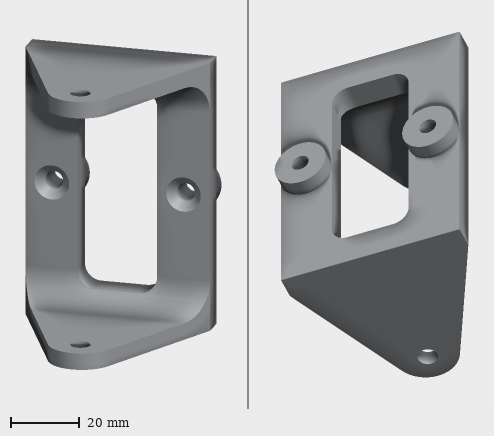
import cadquery as cq

height = 82.0
width = 56.0
arm_reach = 53.3
plate_thickness = 7.0
arm_thickness = 5.0
inner_radius = 10.0

tip_chord = 18.2
tip_length = 5.8
pivot_diameter = 6.0
pivot_to_tip = 8.4

window_width = 24.0
window_height = 62.0
window_radius = 5.0

boss_diameter = 16.0
boss_length = 5.0
screw_diameter = 5.3
sink_diameter = 10.5
sink_angle = 90.0

half_width = width / 2
plate_front = -plate_thickness
tip_start = tip_length - arm_reach
boss_offset = half_width - boss_diameter / 2
boss_places = [(-boss_offset, 0), (boss_offset, 0)]


def make_bracket_body():
    """C-shaped bracket: tapered outline in plan with the inner channel removed."""
    body = (
        cq.Workplane("XY")
        .moveTo(-half_width, 0)
        .lineTo(-half_width, plate_front)
        .lineTo(-tip_chord / 2, tip_start)
        .threePointArc((0, -arm_reach), (tip_chord / 2, tip_start))
        .lineTo(half_width, plate_front)
        .lineTo(half_width, 0)
        .close()
        .extrude(height / 2, both=True)
    )
    channel = (
        cq.Workplane("XY")
        .box(width, 2 * arm_reach, height - 2 * arm_thickness)
        .translate((0, plate_front - arm_reach, 0))
        .edges("|X and >Y")
        .fillet(inner_radius)
    )
    return body.cut(channel)


def make_window():
    """Rounded opening through the plate."""
    return (
        cq.Workplane("XZ")
        .rect(window_width, window_height)
        .extrude(arm_reach)
        .edges("|Y")
        .fillet(window_radius)
    )


def make_pivot_hole():
    """One straight hole through both arms."""
    return (
        cq.Workplane("XY")
        .center(0, pivot_to_tip - arm_reach)
        .circle(pivot_diameter / 2)
        .extrude(height / 2, both=True)
    )


bosses = (
    cq.Workplane("XZ", origin=(0, boss_length, 0))
    .pushPoints(boss_places)
    .circle(boss_diameter / 2)
    .extrude(boss_length)
)

bracket = make_bracket_body().cut(make_window()).cut(make_pivot_hole()).union(bosses)

result = (
    bracket.copyWorkplane(cq.Workplane("XZ", origin=(0, plate_front, 0)))
    .pushPoints(boss_places)
    .cskHole(screw_diameter, sink_diameter, sink_angle)
)